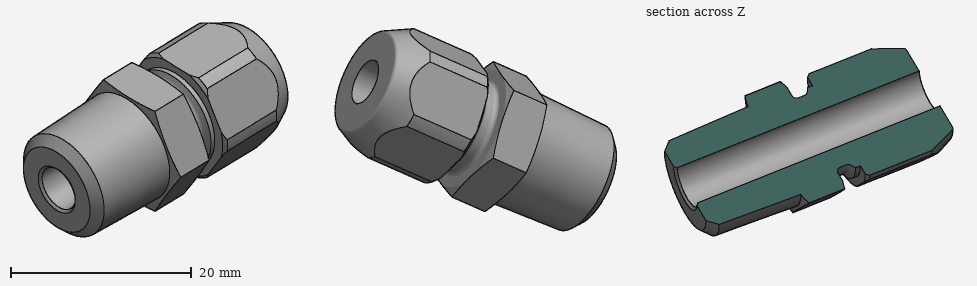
import math

import cadquery as cq

TOTAL_LENGTH = 30.1
ACROSS_FLATS = 14.0

SHANK_LENGTH = 11.0
SHANK_END_CHAMFER = 1.1
SHANK_BASE_RADIUS = 6.645
THREAD_TAPER = 1 / 16

BODY_HEX_LENGTH = 5.0
BODY_HEX_CHAMFER_ANGLE = 15.0

GROOVE_RADIUS = 5.27
GROOVE_FILLET = 0.5
GROOVE_SIDE_ANGLE = 60.0
COLLAR_RADIUS = 6.06
COLLAR_START = 18.0

NUT_START = 18.6
NUT_CORNER_RADIUS = 7.67
NUT_START_CHAMFER = 0.38
NUT_CONE_START = 26.65
NUT_CONE_ANGLE = 25.0
NUT_END_FILLET = 0.4

BORE_RADIUS = 2.6
BORE_CHAMFER = 0.3

BODY_HEX_START = SHANK_LENGTH
BODY_HEX_END = BODY_HEX_START + BODY_HEX_LENGTH


def revolve_about_y(profile):
    """Turn a closed (radius, Y) profile fully about the Y axis."""
    return profile.close().revolve(360, (0, 0, 0), (0, 1, 0))


def hexagon(start, end):
    """Hexagonal bar along Y with flats facing +Z and -Z."""
    across_corners = ACROSS_FLATS / math.cos(math.radians(30))
    return (
        cq.Workplane("XZ", origin=(0, start, 0))
        .polygon(6, across_corners)
        .extrude(start - end)
    )


def make_shank():
    half_taper = THREAD_TAPER / 2
    chamfer_radius = SHANK_BASE_RADIUS - half_taper * (SHANK_LENGTH - SHANK_END_CHAMFER)
    profile = (
        cq.Workplane("XY")
        .moveTo(0, 0)
        .lineTo(chamfer_radius - SHANK_END_CHAMFER, 0)
        .lineTo(chamfer_radius, SHANK_END_CHAMFER)
        .lineTo(SHANK_BASE_RADIUS, SHANK_LENGTH)
        .lineTo(0, SHANK_LENGTH)
    )
    return revolve_about_y(profile)


def make_body_hexagon():
    """Hexagon whose corners are chamfered from the inscribed circle of both ends."""
    flat_radius = ACROSS_FLATS / 2
    corner_radius = flat_radius / math.cos(math.radians(30))
    chamfer_depth = (corner_radius - flat_radius) * math.tan(math.radians(BODY_HEX_CHAMFER_ANGLE))
    envelope = (
        cq.Workplane("XY")
        .moveTo(0, BODY_HEX_START)
        .lineTo(flat_radius, BODY_HEX_START)
        .lineTo(corner_radius, BODY_HEX_START + chamfer_depth)
        .lineTo(corner_radius, BODY_HEX_END - chamfer_depth)
        .lineTo(flat_radius, BODY_HEX_END)
        .lineTo(0, BODY_HEX_END)
    )
    return hexagon(BODY_HEX_START, BODY_HEX_END).intersect(revolve_about_y(envelope))


def make_neck():
    """Groove with a fillet at each side, and the collar that meets the nut."""
    side = math.radians(GROOVE_SIDE_ANGLE)
    sharp_corner = COLLAR_START - (COLLAR_RADIUS - GROOVE_RADIUS) / math.tan(side)
    tangent_length = GROOVE_FILLET * math.tan(side / 2)
    cone_foot_radius = GROOVE_RADIUS + tangent_length * math.sin(side)
    cone_foot = sharp_corner + tangent_length * math.cos(side)
    profile = (
        cq.Workplane("XY")
        .moveTo(0, BODY_HEX_END)
        .lineTo(GROOVE_RADIUS + GROOVE_FILLET, BODY_HEX_END)
        .radiusArc((GROOVE_RADIUS, BODY_HEX_END + GROOVE_FILLET), GROOVE_FILLET)
        .lineTo(GROOVE_RADIUS, sharp_corner - tangent_length)
        .radiusArc((cone_foot_radius, cone_foot), GROOVE_FILLET)
        .lineTo(COLLAR_RADIUS, COLLAR_START)
        .lineTo(COLLAR_RADIUS, NUT_START)
        .lineTo(0, NUT_START)
    )
    return revolve_about_y(profile)


def make_nut():
    """Hexagon with rounded corners, a small start chamfer and a conical end with a filleted rim."""
    cone_angle = math.radians(NUT_CONE_ANGLE)
    sharp_edge_radius = NUT_CORNER_RADIUS - (TOTAL_LENGTH - NUT_CONE_START) * math.tan(cone_angle)
    tangent_length = NUT_END_FILLET * math.tan((math.pi / 2 - cone_angle) / 2)
    cone_end_radius = sharp_edge_radius + tangent_length * math.sin(cone_angle)
    cone_end = TOTAL_LENGTH - tangent_length * math.cos(cone_angle)
    end_face_radius = sharp_edge_radius - tangent_length
    envelope = (
        cq.Workplane("XY")
        .moveTo(0, NUT_START)
        .lineTo(NUT_CORNER_RADIUS - NUT_START_CHAMFER, NUT_START)
        .lineTo(NUT_CORNER_RADIUS, NUT_START + NUT_START_CHAMFER)
        .lineTo(NUT_CORNER_RADIUS, NUT_CONE_START)
        .lineTo(cone_end_radius, cone_end)
        .radiusArc((end_face_radius, TOTAL_LENGTH), -NUT_END_FILLET)
        .lineTo(0, TOTAL_LENGTH)
    )
    return hexagon(NUT_START, TOTAL_LENGTH).intersect(revolve_about_y(envelope))


def make_bore():
    """Through bore, chamfered at the threaded end."""
    profile = (
        cq.Workplane("XY")
        .moveTo(0, 0)
        .lineTo(BORE_RADIUS + BORE_CHAMFER, 0)
        .lineTo(BORE_RADIUS, BORE_CHAMFER)
        .lineTo(BORE_RADIUS, TOTAL_LENGTH)
        .lineTo(0, TOTAL_LENGTH)
    )
    return revolve_about_y(profile)


result = (
    make_shank()
    .union(make_body_hexagon())
    .union(make_neck())
    .union(make_nut())
    .cut(make_bore())
)